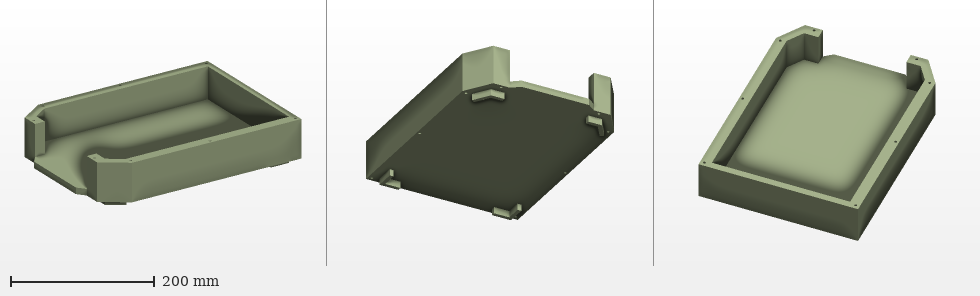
import cadquery as cq
import math

width = 240.0
body_length = 320.0
body_height = 60.0
floor_thickness = 10.0
half_width = width / 2

side_wall = 16.0
front_wall = 16.0
back_wall = 10.0

corner_x = 27.2
corner_y = 40.0

opening_half = 66.2
lip_reach = 10.0
lip_half = 53.5

hole_diameter = 4.0
hole_places = [
    (6.2, body_length - 6.2),
    (5.0, 172.3),
    (7.6, 42.8),
    (42.8, 5.2),
]

foot_height = 10.0
foot_length = 30.0
foot_thickness = 6.0

cavity_half = half_width - side_wall
cavity_back = body_length - back_wall
cavity_front_half = cavity_half - (corner_y - front_wall) * corner_x / corner_y


def prism(points, bottom, height):
    """Extrude a closed polygon upward from the given level."""
    return cq.Workplane("XY").workplane(offset=bottom).polyline(points).close().extrude(height)


def both_sides(solid):
    """Join a solid with its mirror image across the YZ plane."""
    return solid.union(solid.mirror("YZ"))


def symmetric_outline(right_points):
    """Complete a right-hand run of points, front to back, with its mirrored left half."""
    return right_points + [(-x, y) for x, y in reversed(right_points)]


def make_body():
    outline = symmetric_outline([
        (half_width - corner_x, 0),
        (half_width, corner_y),
        (half_width, body_length),
    ])
    return prism(outline, 0, body_height)


def make_cavity():
    outline = symmetric_outline([
        (opening_half, 0),
        (opening_half, front_wall),
        (cavity_front_half, front_wall),
        (cavity_half, corner_y),
        (cavity_half, cavity_back),
    ])
    return prism(outline, floor_thickness, body_height - floor_thickness)


def make_lip():
    outline = symmetric_outline([
        (lip_half, -lip_reach),
        (opening_half, 0),
        (opening_half, front_wall),
    ])
    return prism(outline, 0, floor_thickness)


def make_rear_foot():
    end_x = cavity_half - foot_length
    end_y = cavity_back - foot_length
    return prism(
        [
            (cavity_half, cavity_back),
            (end_x, cavity_back),
            (end_x, cavity_back - foot_thickness),
            (cavity_half - foot_thickness, cavity_back - foot_thickness),
            (cavity_half - foot_thickness, end_y),
            (cavity_half, end_y),
        ],
        -foot_height,
        foot_height,
    )


def make_front_foot():
    slant_angle = math.atan2(corner_y, corner_x)
    along_x = math.cos(slant_angle)
    along_y = math.sin(slant_angle)
    outer_end_x = cavity_front_half + foot_length * along_x
    outer_end_y = front_wall + foot_length * along_y
    inner_bend_x = cavity_front_half - foot_thickness * math.tan(slant_angle / 2)
    inner_bend_y = front_wall + foot_thickness
    return prism(
        [
            (opening_half, front_wall),
            (cavity_front_half, front_wall),
            (outer_end_x, outer_end_y),
            (outer_end_x - foot_thickness * along_y, outer_end_y + foot_thickness * along_x),
            (inner_bend_x, inner_bend_y),
            (opening_half, inner_bend_y),
        ],
        -foot_height,
        foot_height,
    )


def make_feet():
    return both_sides(make_rear_foot().union(make_front_foot()))


def make_holes():
    centres = [(half_width - inset, y) for inset, y in hole_places]
    holes = cq.Workplane("XY").pushPoints(centres).circle(hole_diameter / 2).extrude(body_height)
    return both_sides(holes)


result = make_body().cut(make_cavity()).union(make_lip()).union(make_feet()).cut(make_holes())